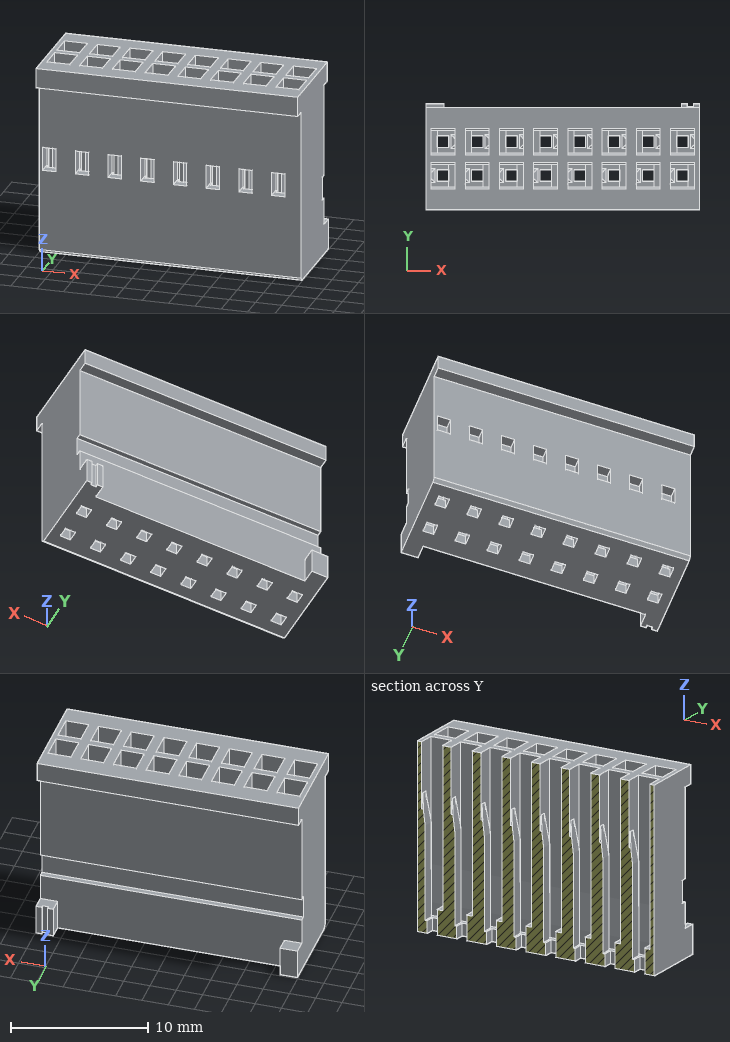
import cadquery as cq
import math


length = 19.9
height = 14.69
overall_depth = 7.72

cap_depth = 7.45
cap_height = 1.5
cap_overhang = 0.81

body_depth = cap_depth - 2 * cap_overhang
body_back = body_depth / 2
bottom_chamfer = 0.27

groove_bottom = 4.36
groove_height = 1.78
groove_depth = 0.41

tab_width = 1.32
tab_height = 2.33
tab_back = overall_depth - cap_depth / 2
split_width = 0.43
split_depth = 0.21

columns = 8
pitch = length / columns
row_spacing = 2.47
cavity_width = 1.74
cavity_depth = 1.93
floor_height = 1.0
ledge_height = 2.0
pin_hole = 0.82
wall_draft = 3.0
floor_inset = 0.15

latch_length = 1.03
latch_reach = 0.3
latch_draft = 7.0
latch_tip = 0.001

window_bottom = 6.48
window_height = 1.78
window_width = 1.01
window_overlap = 0.12
window_depth = 1.07


def block(x_range, y_range, z_range):
    """Axis-aligned box given by its limits along X, Y and Z."""
    size = [limits[1] - limits[0] for limits in (x_range, y_range, z_range)]
    corner = (x_range[0], y_range[0], z_range[0])
    return cq.Workplane("XY").box(*size, centered=False).translate(corner)


def make_housing():
    """Capped body with the bottom front edge chamfered and the back groove cut."""
    ends = (-length / 2, length / 2)
    body = block(ends, (-body_back, body_back), (0, height))
    body = body.faces("<Z").edges("<Y").chamfer(bottom_chamfer)
    cap = block(ends, (-cap_depth / 2, cap_depth / 2), (height - cap_height, height))
    groove = block(
        ends,
        (body_back - groove_depth, body_back),
        (groove_bottom, groove_bottom + groove_height),
    )
    return body.union(cap).cut(groove)


def make_tabs():
    """Plain tab at the -X end and a split tab at the +X end."""
    y_range = (body_back, tab_back)
    z_range = (0, tab_height)
    plain = block((-length / 2, -length / 2 + tab_width), y_range, z_range)
    split_tab = block((length / 2 - tab_width, length / 2), y_range, z_range)
    split_center = (length - tab_width) / 2
    split = block(
        (split_center - split_width / 2, split_center + split_width / 2),
        (tab_back - split_depth, tab_back),
        z_range,
    )
    return plain.union(split_tab.cut(split))


def make_cavity():
    """Cutter for one front-row cavity, centred on the Z axis, latch on the -X wall."""
    half_width = cavity_width / 2
    half_depth = cavity_depth / 2
    half_floor = half_depth - floor_inset
    taper_top = ledge_height + floor_inset / math.tan(math.radians(wall_draft))

    profile = [
        (-half_floor, floor_height),
        (half_floor, floor_height),
        (half_floor, ledge_height),
        (half_depth, taper_top),
        (half_depth, height),
        (-half_depth, height),
        (-half_depth, taper_top),
        (-half_floor, ledge_height),
    ]
    cavity = cq.Workplane("YZ").polyline(profile).close().extrude(half_width, both=True)
    ledge = block(
        (pin_hole / 2, half_width),
        (-half_floor, half_floor),
        (floor_height, ledge_height),
    )
    hole = cq.Workplane("XY").rect(pin_hole, pin_hole).extrude(ledge_height)
    return cavity.cut(ledge).cut(make_latch()).union(hole)


def make_latch():
    """Upright ridge on the -X wall whose top leans back to the wall on three sides."""
    wall = -cavity_width / 2
    shoulder = window_bottom + window_height
    taper_height = latch_reach / math.tan(math.radians(latch_draft))
    base = cq.Workplane("XY", origin=(wall, 0, 0))
    column = base.rect(2 * latch_reach, latch_length).extrude(shoulder)
    top = (
        base.workplane(offset=shoulder)
        .rect(2 * latch_reach, latch_length)
        .workplane(offset=taper_height)
        .rect(latch_tip, latch_length - 2 * latch_reach)
        .loft(ruled=True)
    )
    return column.union(top)


def make_window():
    """Cutter for one front window, placed on the column axis."""
    left = -cavity_width / 2 - window_overlap
    return block(
        (left, left + window_width),
        (-body_back, -body_back + window_depth),
        (window_bottom, window_bottom + window_height),
    )


result = make_housing().union(make_tabs())
front_cavity = make_cavity()
back_cavity = front_cavity.rotate((0, 0, 0), (0, 0, 1), 180)
window = make_window()
for column in range(columns):
    x = (column - (columns - 1) / 2) * pitch
    result = result.cut(front_cavity.translate((x, -row_spacing / 2, 0)))
    result = result.cut(back_cavity.translate((x, row_spacing / 2, 0)))
    result = result.cut(window.translate((x, 0, 0)))